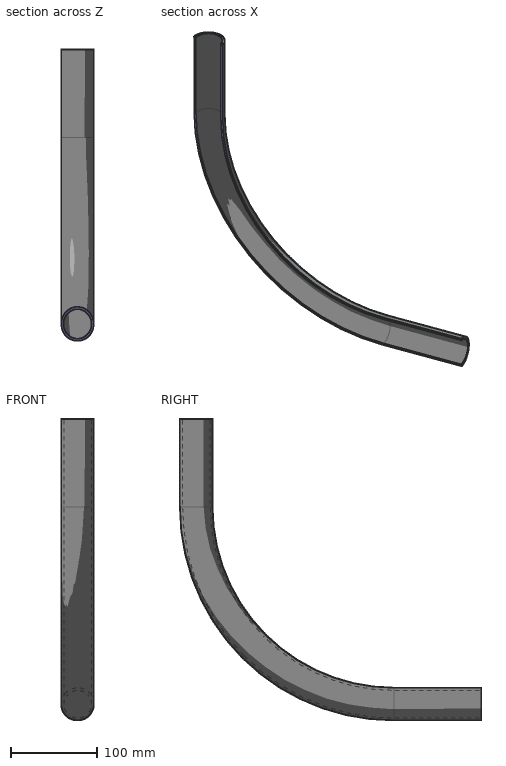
import cadquery as cq
import math

OUTER_DIAMETER = 38.1
INNER_DIAMETER = 32.0
STRAIGHT_LENGTH = 101.6
BEND_RADIUS = 228.6

LEG_REACH = BEND_RADIUS + STRAIGHT_LENGTH


def tube_centreline():
    """Vertical leg, quarter-circle bend, then horizontal leg, in the YZ plane."""
    bend_middle = BEND_RADIUS * (1 - math.sqrt(0.5))
    return (
        cq.Workplane("YZ")
        .moveTo(0, LEG_REACH)
        .lineTo(0, BEND_RADIUS)
        .threePointArc((bend_middle, bend_middle), (BEND_RADIUS, 0))
        .lineTo(LEG_REACH, 0)
    )


def bent_tube():
    """Sweep the ring section from the top end along the centreline."""
    return (
        cq.Workplane("XY")
        .workplane(offset=LEG_REACH)
        .circle(OUTER_DIAMETER / 2)
        .circle(INNER_DIAMETER / 2)
        .sweep(tube_centreline())
    )


result = bent_tube()